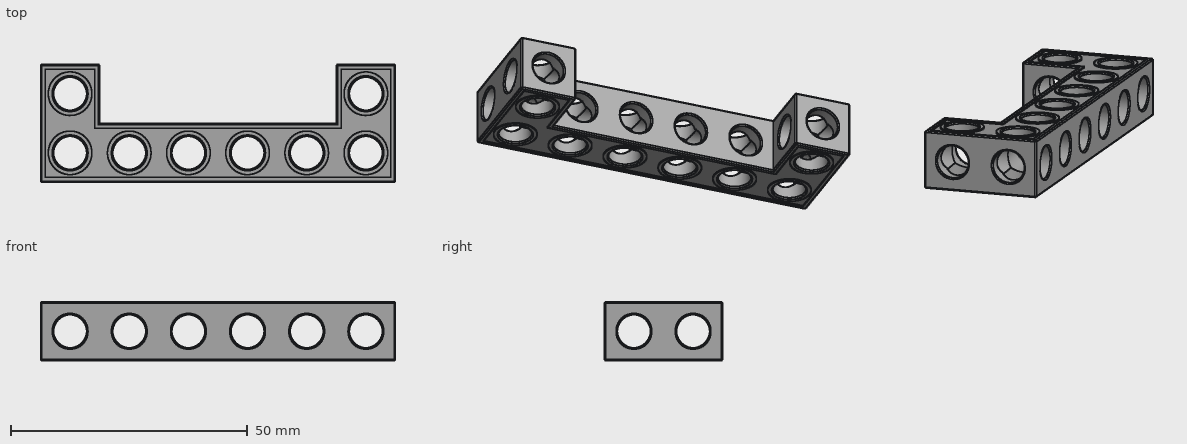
import cadquery as cq

length = 75.0
blocks_long = 6
blocks_deep = 2
pitch = length / blocks_long
depth = blocks_deep * pitch
height = pitch

hole_diameter = 7.0
hole_chamfer = 0.3
edge_chamfer = 0.3
rim_width = 1.05
ring_diameter = 9.2
recess_depth = 0.2

columns = [(i + 0.5) * pitch - length / 2 for i in range(blocks_long)]
rows = [(j + 0.5) * pitch - depth / 2 for j in range(blocks_deep)]
front_row, back_row = rows
arm_columns = [columns[0], columns[-1]]
vertical_holes = [(x, front_row) for x in columns] + [(x, back_row) for x in arm_columns]


def u_outline(inset):
    """U-shaped outline in plan, moved inwards by the inset."""
    x_outer = length / 2 - inset
    x_inner = length / 2 - pitch + inset
    y_front = -depth / 2 + inset
    y_notch = -depth / 2 + pitch - inset
    y_back = depth / 2 - inset
    return cq.Workplane("XY").polyline([
        (-x_outer, y_front),
        (x_outer, y_front),
        (x_outer, y_back),
        (x_inner, y_back),
        (x_inner, y_notch),
        (-x_inner, y_notch),
        (-x_inner, y_back),
        (-x_outer, y_back),
    ]).close()


def make_body():
    """U-shaped bar with every edge chamfered except the two upright inner corners of the notch."""
    body = u_outline(0).extrude(height / 2, both=True)
    half_pitch = pitch / 2
    x_limit = length / 2 - half_pitch
    inner_corners = cq.selectors.BoxSelector(
        (-x_limit, -half_pitch, -half_pitch / 2),
        (x_limit, half_pitch, half_pitch / 2),
    )
    return body.edges(cq.selectors.InverseSelector(inner_corners)).chamfer(edge_chamfer)


def make_recess():
    """Shallow pocket inside the rim, leaving a collar around every vertical hole."""
    pocket = u_outline(rim_width).extrude(recess_depth)
    collars = cq.Workplane("XY").pushPoints(vertical_holes).circle(ring_diameter / 2).extrude(recess_depth)
    return pocket.cut(collars)


def hole_cutter(start, direction, span):
    """Cylinder along the direction, flared at both ends to chamfer the hole mouths."""
    radius = hole_diameter / 2
    mouth = radius + hole_chamfer
    profile = [
        (0, 0),
        (mouth, 0),
        (radius, hole_chamfer),
        (radius, span - hole_chamfer),
        (mouth, span),
        (0, span),
    ]
    cutter = cq.Workplane("XZ").polyline(profile).close().revolve(360, (0, 0), (0, 1)).val()
    plane = cq.Plane(origin=start, normal=direction)
    return cutter.located(cq.Location(plane))


def drill(body, starts, direction, span):
    for start in starts:
        body = body.cut(cq.Workplane(hole_cutter(start, direction, span)))
    return body


result = make_body()

recess = make_recess()
result = result.cut(recess.translate((0, 0, height / 2 - recess_depth)))
result = result.cut(recess.translate((0, 0, -height / 2)))

result = drill(result, [(x, y, -height / 2) for x, y in vertical_holes], (0, 0, 1), height)

bar_columns = columns[1:-1]
result = drill(result, [(x, -depth / 2, 0) for x in bar_columns], (0, 1, 0), pitch)
result = drill(result, [(x, -depth / 2, 0) for x in arm_columns], (0, 1, 0), depth)

result = drill(result, [(-length / 2, front_row, 0)], (1, 0, 0), length)
result = drill(result, [(x - pitch / 2, back_row, 0) for x in arm_columns], (1, 0, 0), pitch)